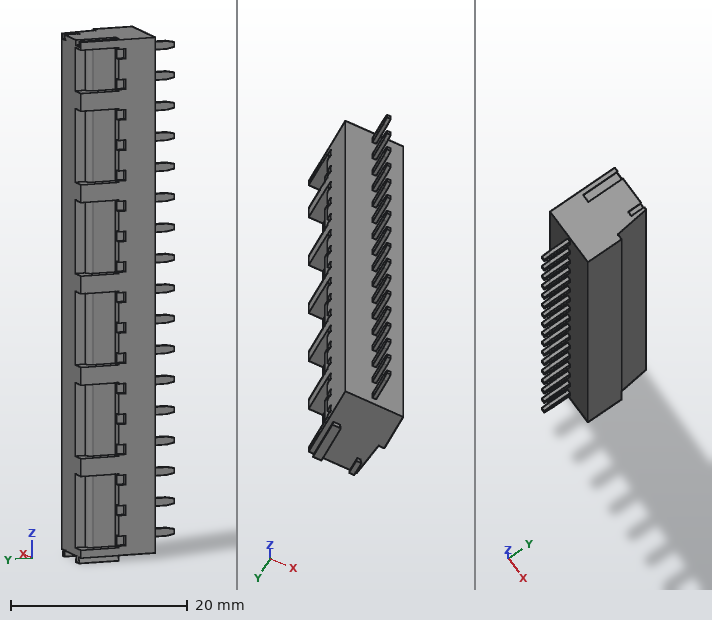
import cadquery as cq
import math

total_height = 60.05
total_depth = 12.6
tongue_height = 0.7
width = 7.4
depth = 9.0
height = total_height - tongue_height

step_depth = 4.3
step_width = 0.7
back_width = 6.1

pin_count = 17
pin_pitch = 3.5
pin_x = width / 2
pin_length = total_depth - depth
pin_thickness = 0.5
pin_height = 0.9
pin_embed = 0.6
tip_length = 0.9
tip_height = 0.55
first_pin_z = (height - (pin_count - 1) * pin_pitch) / 2

contacts_per_recess = 3
rib_height = 2.05
end_wall = 0.9
recess_length = 4.55
deep_length = 1.2
shelf_depth = 1.15
lip_radius = 0.65
deep_depth = shelf_depth + lip_radius

notch_length = 0.85
notch_height = 1.15
notch_depth = 0.6

dovetails = [(1.1, 1.1, 4.8), (5.45, 0.65, 1.8)]
dovetail_taper = 0.1
groove_depth = 0.6
groove_clearance = 0.09


def housing():
    step_y = depth - step_depth
    outline = [
        (0, 0),
        (width, 0),
        (width, step_y),
        (width - step_width, step_y),
        (back_width, depth),
        (0, depth),
    ]
    return cq.Workplane("XY").polyline(outline).close().extrude(height)


def recess(bottom, top):
    """Cutter open to the -X and back faces, with a rounded lip between its two depths."""
    front_y = depth - recess_length
    lip_y = depth - deep_length
    arc_offset = lip_radius * math.sqrt(0.5)
    return (
        cq.Workplane("XY", origin=(0, 0, bottom))
        .moveTo(0, front_y)
        .lineTo(shelf_depth, front_y)
        .lineTo(shelf_depth, lip_y - lip_radius)
        .threePointArc(
            (deep_depth - arc_offset, lip_y - lip_radius + arc_offset),
            (deep_depth, lip_y),
        )
        .lineTo(deep_depth, depth)
        .lineTo(0, depth)
        .close()
        .extrude(top - bottom)
    )


def notch(z):
    """Cutter beside one contact, just in front of its recess."""
    front_y = depth - recess_length - notch_length
    return (
        cq.Workplane("XY", origin=(0, front_y, z))
        .box(notch_depth, notch_length, notch_height, centered=(False, False, True))
    )


def dovetail(center_x, wide_width, length, wide_z, narrow_z):
    """Dovetail bar running forward from the back face."""
    wide_half = wide_width / 2
    narrow_half = wide_half - dovetail_taper
    section = [
        (center_x - wide_half, wide_z),
        (center_x + wide_half, wide_z),
        (center_x + narrow_half, narrow_z),
        (center_x - narrow_half, narrow_z),
    ]
    return cq.Workplane("XZ", origin=(0, depth, 0)).polyline(section).close().extrude(length)


def pin(z):
    """Flat contact pin with a tip tapered in Z, rooted inside the housing."""
    outline = [
        (pin_embed, z - pin_height / 2),
        (tip_length - pin_length, z - pin_height / 2),
        (-pin_length, z - tip_height / 2),
        (-pin_length, z + tip_height / 2),
        (tip_length - pin_length, z + pin_height / 2),
        (pin_embed, z + pin_height / 2),
    ]
    return (
        cq.Workplane("YZ", origin=(pin_x - pin_thickness / 2, 0, 0))
        .polyline(outline)
        .close()
        .extrude(pin_thickness)
    )


result = housing()

recess_count = math.ceil(pin_count / contacts_per_recess)
rib_centers = [
    first_pin_z + (group * contacts_per_recess - 0.5) * pin_pitch
    for group in range(1, recess_count)
]
bottoms = [end_wall] + [z + rib_height / 2 for z in rib_centers]
tops = [z - rib_height / 2 for z in rib_centers] + [height - end_wall]
for bottom, top in zip(bottoms, tops):
    result = result.cut(recess(bottom, top))

for index in range(pin_count):
    z = first_pin_z + index * pin_pitch
    result = result.cut(notch(z))
    result = result.union(pin(z))

for center_x, wide_width, length in dovetails:
    groove_width = wide_width + 2 * groove_clearance
    groove = dovetail(center_x, groove_width, length, height - groove_depth, height)
    tongue = dovetail(center_x, wide_width, length, -tongue_height, 0)
    result = result.cut(groove).union(tongue)